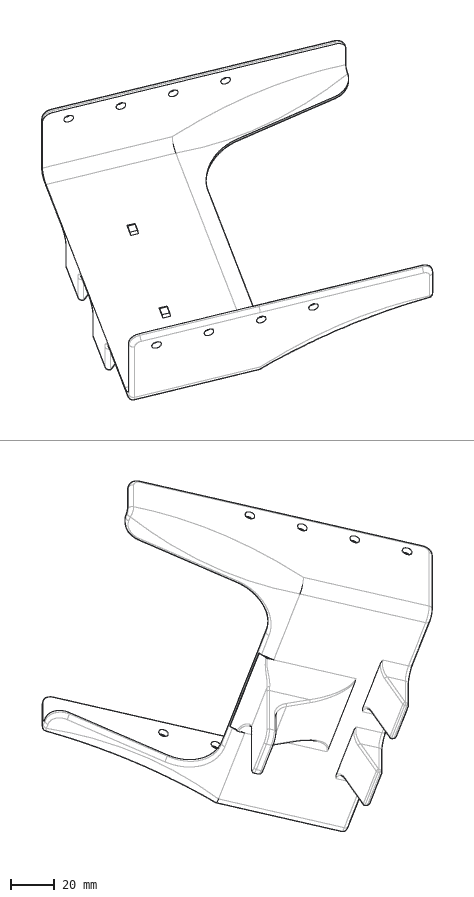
import cadquery as cq
import math

WIDTH = 140.0
LENGTH = 145.0
WALL_HEIGHT = 48.0
THICKNESS = 3.0
BEND_RADIUS = 5.5

KNEE_Y = 62.0
REAR_RISE = 24.8
WIDEST_BEND_Y = 94.0
WIDEST_BEND_RADIUS = 11.0
REAR_BEND_RADIUS = 3.0

OPENING_WIDTH = 110.0
OPENING_Y = 69.3
OPENING_RADIUS = 20.0
ARM_TIP_RADIUS = 9.0

WALL_CORNER_RADIUS = 5.0
RIM_FILLET = 2.0
HOLE_DIAMETER = 4.5
HOLE_COUNT = 4
HOLE_PITCH = 25.0
FIRST_HOLE_Y = 12.5
HOLE_DROP = 7.5

TONGUE_WIDTH = 26.0
TONGUE_THICKNESS = 4.3
TONGUE_DEPTH = 42.0
TONGUE_FLARE = 10.0
GUSSET_FILLET = 10.0
TONGUE_CORNER_RADIUS = 5.0
TONGUE_EDGE_FILLET = 1.0
GUSSET_TOP_Y = 22.6
GUSSET_ANGLE = 30.0

LEG_INNER_X = 9.8
LEG_OUTER_X = 32.3
LEG_DEPTH = 21.0
LEG_FLARE = 5.0
LEG_TIP = 2.6
LEG_ANGLE = 60.0
LEG_FRONT_FILLET = 2.0
LEG_SLOPE_FILLET = 1.0
LEG_TIP_FILLET = 1.0

BUMP_X = 25.0
BUMP_Y = 30.2
BUMP_LENGTH = 3.7
BUMP_BASE_WIDTH = 6.1
BUMP_TOP_WIDTH = 3.7
BUMP_HEIGHT = 1.0

EMBED = 2.5


def trough_section(y, bend):
    """U-shaped section at the given Y; the floor height follows the slope behind the knee."""
    floor = max(0.0, y - KNEE_Y) * REAR_RISE / (LENGTH - KNEE_Y)
    outer = WIDTH / 2
    inner = outer - THICKNESS
    top = floor + THICKNESS
    diagonal = bend * (1 - math.sqrt(0.5))
    return (
        cq.Workplane("XZ", origin=(0, y, 0))
        .moveTo(-outer, WALL_HEIGHT)
        .lineTo(-outer, floor + bend)
        .threePointArc((-outer + diagonal, floor + diagonal), (-outer + bend, floor))
        .lineTo(outer - bend, floor)
        .threePointArc((outer - diagonal, floor + diagonal), (outer, floor + bend))
        .lineTo(outer, WALL_HEIGHT)
        .lineTo(inner, WALL_HEIGHT)
        .lineTo(inner, top + bend)
        .threePointArc((inner - diagonal, top + diagonal), (inner - bend, top))
        .lineTo(-inner + bend, top)
        .threePointArc((-inner + diagonal, top + diagonal), (-inner, top + bend))
        .lineTo(-inner, WALL_HEIGHT)
        .close()
    )


def trough():
    """Straight front stretch plus the blended rear stretch with the climbing floor."""
    front = trough_section(0, BEND_RADIUS).extrude(-KNEE_Y)
    stations = (
        (KNEE_Y, BEND_RADIUS),
        (WIDEST_BEND_Y, WIDEST_BEND_RADIUS),
        (LENGTH, REAR_BEND_RADIUS),
    )
    wires = [trough_section(y, bend).val() for y, bend in stations]
    rear = cq.Workplane(cq.Solid.makeLoft(wires))
    return front.union(rear)


def wall_corner_envelope():
    """Block around the trough with the two upper corners of the walls rounded."""
    height = WALL_HEIGHT + TONGUE_DEPTH
    return (
        cq.Workplane("XY")
        .box(WIDTH, LENGTH, height, centered=(True, False, False))
        .translate((0, 0, -TONGUE_DEPTH))
        .edges("|X and >Z")
        .fillet(WALL_CORNER_RADIUS)
    )


def opening():
    """Cutter that leaves two arms: a round-cornered bay open to the rear, with rounded arm tips."""
    half = OPENING_WIDTH / 2
    tip = ARM_TIP_RADIUS
    corner = OPENING_RADIUS
    cutter = (
        cq.Workplane("XY")
        .moveTo(-half - tip, LENGTH)
        .radiusArc((-half, LENGTH - tip), tip)
        .lineTo(-half, OPENING_Y + corner)
        .radiusArc((-half + corner, OPENING_Y), -corner)
        .lineTo(half - corner, OPENING_Y)
        .radiusArc((half, OPENING_Y + corner), -corner)
        .lineTo(half, LENGTH - tip)
        .radiusArc((half + tip, LENGTH), tip)
        .close()
    )
    return cutter.extrude(WALL_HEIGHT)


def flared_outline(left, right, depth, flare):
    """XZ profile hanging from the plate, widened by concave arcs where it meets the underside."""
    return (
        cq.Workplane("XZ")
        .moveTo(left - flare, EMBED)
        .lineTo(left - flare, 0)
        .radiusArc((left, -flare), flare)
        .lineTo(left, -depth)
        .lineTo(right, -depth)
        .lineTo(right, -flare)
        .radiusArc((right + flare, 0), flare)
        .lineTo(right + flare, EMBED)
        .close()
    )


def tongue():
    """Hanging tongue behind a sloped gusset, blended into the floor on both sides and at the rear."""
    half = TONGUE_WIDTH / 2
    slope = math.radians(GUSSET_ANGLE)
    front_y = KNEE_Y - TONGUE_THICKNESS
    bend_z = -(front_y - GUSSET_TOP_Y) * math.tan(slope)
    front_tangent = GUSSET_FILLET * math.tan((math.pi / 2 - slope) / 2)

    climb = math.atan2(REAR_RISE, LENGTH - KNEE_Y)
    rear_tangent = TONGUE_FLARE * math.tan((math.pi / 2 - climb) / 2)
    rear_end_y = KNEE_Y + rear_tangent * math.cos(climb)

    profile = (
        cq.Workplane("YZ", origin=(-WIDTH / 2, 0, 0))
        .moveTo(KNEE_Y, -TONGUE_DEPTH)
        .lineTo(KNEE_Y, -rear_tangent)
        .radiusArc((rear_end_y, rear_tangent * math.sin(climb)), TONGUE_FLARE)
        .lineTo(rear_end_y, EMBED)
        .lineTo(GUSSET_TOP_Y, EMBED)
        .lineTo(GUSSET_TOP_Y, 0)
        .lineTo(front_y - front_tangent * math.cos(slope), bend_z + front_tangent * math.sin(slope))
        .radiusArc((front_y, bend_z - front_tangent), GUSSET_FILLET)
        .lineTo(front_y, -TONGUE_DEPTH)
        .close()
        .extrude(WIDTH)
    )
    outline = flared_outline(-half, half, TONGUE_DEPTH, TONGUE_FLARE).extrude(-LENGTH)
    outline = outline.edges("|Y and <Z").fillet(TONGUE_CORNER_RADIUS)
    body = outline.intersect(profile)
    return body.edges("|Z").filter(lambda edge: edge.Length() > TONGUE_FLARE).fillet(TONGUE_EDGE_FILLET)


def leg(side):
    """Wedge-shaped leg under the front edge; side is -1 or 1."""
    left, right = sorted((side * LEG_INNER_X, side * LEG_OUTER_X))
    top_y = LEG_TIP + LEG_DEPTH / math.tan(math.radians(LEG_ANGLE))
    wedge = (
        cq.Workplane("YZ", origin=(-WIDTH / 2, 0, 0))
        .moveTo(0, -LEG_DEPTH)
        .lineTo(LEG_TIP, -LEG_DEPTH)
        .lineTo(top_y, 0)
        .lineTo(top_y, EMBED)
        .lineTo(0, EMBED)
        .close()
        .extrude(WIDTH)
    )
    body = flared_outline(left, right, LEG_DEPTH, LEG_FLARE).extrude(-LENGTH).intersect(wedge)
    body = body.edges("|Z").filter(lambda edge: edge.Length() > LEG_FLARE).fillet(LEG_FRONT_FILLET)
    slope_edges = body.edges("not(|X or |Y or |Z)").filter(
        lambda edge: edge.geomType() == "LINE" and edge.Length() > LEG_FLARE
    )
    body = slope_edges.fillet(LEG_SLOPE_FILLET)
    return body.faces("<Z").edges("|X").fillet(LEG_TIP_FILLET)


def bump(x):
    """Small ramped locating bump on top of the plate, centred on the given X."""
    base = BUMP_BASE_WIDTH / 2
    crest = BUMP_TOP_WIDTH / 2
    return (
        cq.Workplane("XZ", origin=(x, BUMP_Y - BUMP_LENGTH / 2, THICKNESS))
        .moveTo(-base, -EMBED)
        .lineTo(-base, 0)
        .lineTo(-crest, BUMP_HEIGHT)
        .lineTo(crest, BUMP_HEIGHT)
        .lineTo(base, 0)
        .lineTo(base, -EMBED)
        .close()
        .extrude(-BUMP_LENGTH)
    )


def wall_holes():
    """Row of round holes through both walls."""
    centres = [(FIRST_HOLE_Y + HOLE_PITCH * i, WALL_HEIGHT - HOLE_DROP) for i in range(HOLE_COUNT)]
    return (
        cq.Workplane("YZ", origin=(-WIDTH / 2, 0, 0))
        .pushPoints(centres)
        .circle(HOLE_DIAMETER / 2)
        .extrude(WIDTH)
    )


def rimmed_trough():
    """Trough with rounded wall corners, rear opening and a rounded outer rim."""
    shell = trough().intersect(wall_corner_envelope()).cut(opening())
    return shell.faces("<Y").edges("<Z").fillet(RIM_FILLET)


result = rimmed_trough().union(tongue())
for side in (-1, 1):
    result = result.union(leg(side))
    result = result.union(bump(side * BUMP_X))
result = result.cut(wall_holes())